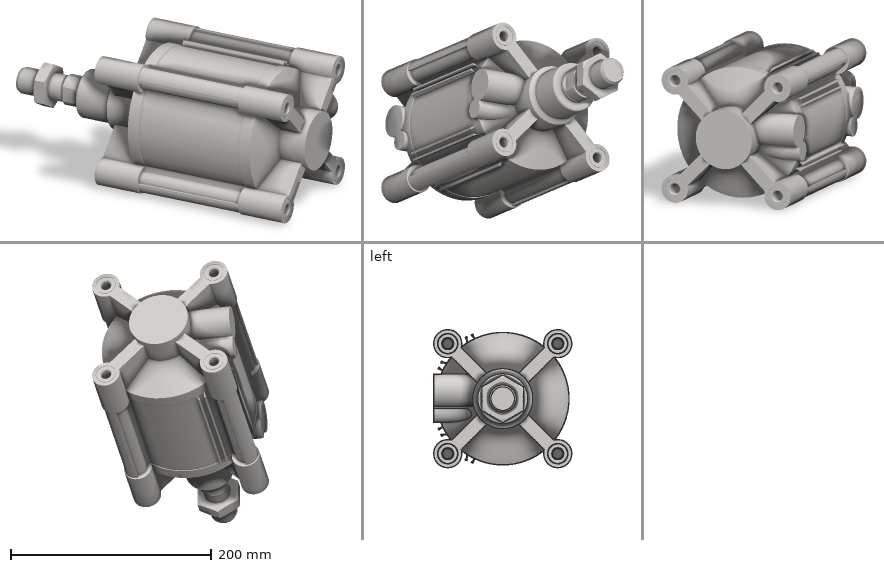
import cadquery as cq
import math

TOTAL_LENGTH = 335.0
CAP_FRONT_X = 118.5
CAP_LENGTH = 48.2
BARREL_LENGTH = 113.5
BARREL_FRONT_X = CAP_FRONT_X + CAP_LENGTH
BARREL_REAR_X = BARREL_FRONT_X + BARREL_LENGTH
CAP_REAR_X = BARREL_REAR_X + CAP_LENGTH
BARREL_MID_X = (BARREL_FRONT_X + BARREL_REAR_X) / 2

CAP_RADIUS = 66.3
CAP_RIM_WIDTH = 12.0
CAP_CONE_LENGTH = 13.5
HUB_RADIUS = 60.0 / 2
CAP_RIM_X = BARREL_FRONT_X - CAP_RIM_WIDTH
CAP_CONE_X = CAP_RIM_X - CAP_CONE_LENGTH
RIB_WIDTH = 13.5

NECK_RADIUS = 50.0 / 2
NECK_FRONT_X = 73.7
NECK_REAR_X = 108.2
NECK_EDGE_FILLET = 2.0
HUB_FRONT_X = 112.0

CORNER_OFFSET = 55.0
CORNERS = [(y, z) for y in (-1, 1) for z in (-1, 1)]
BOSS_RADIUS = 14.0
BOSS_HOLE_RADIUS = 10.0 / 2
BOSS_HOLE_MOUTH_RADIUS = 12.0 / 2
BOSS_HOLE_DEPTH = 20.0
RING_OUTER_RADIUS = 20.5 / 2
RING_INNER_RADIUS = 19.5 / 2
RING_DEPTH = 0.7

PORT_END_Y = CORNER_OFFSET + BOSS_RADIUS
PORT_RADIUS = 32.0 / 2
PORT_X = 142.5
PORT_Z = 8.5
SCREW_BOSS_RADIUS = 19.5 / 2
SCREW_BOSS_X = 152.8
SCREW_BOSS_Z = -14.0
PORT_WEB_BOTTOM_Z = -9.7

BARREL_RADIUS = 65.5
RAIL_INNER_RADIUS = 19.5 / 2
RAIL_OUTER_RADIUS = 12.7
RAIL_FLAT_DISTANCE = 12.5
RAIL_WEB_WIDTH = 13.5

SLOT_TILT = 22.5
SLOT_OFFSET = 7.0
SLOT_LIP_FOOT = 5.0
SLOT_LIP_HEAD = 3.5
SLOT_LIP_THICKNESS = 1.0
SLOT_HEAD_HALF_WIDTH = 1.0
SLOT_HEAD_THICKNESS = 1.5
SLOT_ROOT = 64.3
SLOT_TOP = 71.0

ROD_RADIUS = 32.0 / 2
COLLAR_RADIUS = 31.5 / 2
COLLAR_FRONT_X = 53.5
COLLAR_REAR_X = 70.0
FLAT_REAR_X = 68.0
FLAT_WIDTH = 27.5
THREAD_RADIUS = 27.0 / 2
THREAD_CHAMFER = 3.5
THREAD_TIP_RADIUS = 11.7
THREAD_END_X = 49.5
UNDERCUT_RADIUS = 19.5 / 2
UNDERCUT_X = 51.3

NUT_FRONT_X = 24.5
NUT_THICKNESS = 12.5
NUT_ACROSS_FLATS = 41.2
NUT_CHAMFER = 1.0
NUT_SIDES = 6


def x_cylinder(x_start, x_end, radius, y=0.0, z=0.0):
    return cq.Workplane("YZ", origin=(x_start, y, z)).circle(radius).extrude(x_end - x_start)


def revolve_about_x(points):
    """Turn a closed (x, radius) profile around the X axis."""
    return cq.Workplane("XY").polyline(points).close().revolve(360, (0, 0, 0), (1, 0, 0))


def y_cylinder(x, z, radius, y_end):
    return cq.Workplane("XZ", origin=(x, 0, z)).circle(radius).extrude(-y_end)


def diagonal_bar(x_start, x_end, width, y_sign, z_sign):
    """Flat bar from the axis out to the centre of one corner boss."""
    reach = CORNER_OFFSET * math.sqrt(2)
    length = x_end - x_start
    bar = cq.Workplane("XY").box(length, reach, width, centered=(False, False, True))
    angle = math.degrees(math.atan2(z_sign, y_sign))
    return bar.rotate((0, 0, 0), (1, 0, 0), angle).translate((x_start, 0, 0))


def boss_hole(y, z):
    """Blind hole with a countersunk mouth."""
    hole = x_cylinder(CAP_FRONT_X, CAP_FRONT_X + BOSS_HOLE_DEPTH, BOSS_HOLE_RADIUS, y, z)
    mouth = cq.Solid.makeCone(
        BOSS_HOLE_MOUTH_RADIUS,
        BOSS_HOLE_RADIUS,
        BOSS_HOLE_MOUTH_RADIUS - BOSS_HOLE_RADIUS,
        pnt=cq.Vector(CAP_FRONT_X, y, z),
        dir=cq.Vector(1, 0, 0),
    )
    return hole.union(cq.Workplane(mouth))


def boss_ring(y, z):
    """Shallow ring groove in the boss end."""
    ring = cq.Workplane("YZ", origin=(CAP_FRONT_X, y, z)).circle(RING_OUTER_RADIUS)
    return ring.circle(RING_INNER_RADIUS).extrude(RING_DEPTH)


def port_block():
    """Air port, screw boss and the web that joins them."""
    port = y_cylinder(PORT_X, PORT_Z, PORT_RADIUS, PORT_END_Y)
    screw_boss = y_cylinder(SCREW_BOSS_X, SCREW_BOSS_Z, SCREW_BOSS_RADIUS, PORT_END_Y)
    half_width = math.sqrt(SCREW_BOSS_RADIUS**2 - (PORT_WEB_BOTTOM_Z - SCREW_BOSS_Z) ** 2)
    web = cq.Workplane("XY").box(
        half_width, PORT_END_Y, PORT_Z - PORT_WEB_BOTTOM_Z, centered=False
    )
    web = web.translate((SCREW_BOSS_X - half_width, 0, PORT_WEB_BOTTOM_Z))
    return port.union(screw_boss).union(web)


def cap_core(front_profile):
    """Turned core of a cap in the front position, whose hub starts with the given profile."""
    return revolve_about_x(front_profile + [
        (CAP_CONE_X, HUB_RADIUS),
        (CAP_RIM_X, CAP_RADIUS),
        (BARREL_FRONT_X, CAP_RADIUS),
        (BARREL_FRONT_X, 0),
    ])


def complete_cap(core):
    """Add the port block, ribs and drilled corner bosses to a cap core."""
    cap = core.union(port_block())
    for y_sign, z_sign in CORNERS:
        y = y_sign * CORNER_OFFSET
        z = z_sign * CORNER_OFFSET
        rib = diagonal_bar(CAP_FRONT_X, BARREL_FRONT_X, RIB_WIDTH, y_sign, z_sign)
        boss = x_cylinder(CAP_FRONT_X, BARREL_FRONT_X, BOSS_RADIUS, y, z)
        cap = cap.union(rib).union(boss)
        cap = cap.cut(boss_hole(y, z)).cut(boss_ring(y, z))
    return cap


def make_front_cap():
    core = cap_core([
        (NECK_FRONT_X, 0),
        (NECK_FRONT_X, NECK_RADIUS),
        (NECK_REAR_X, NECK_RADIUS),
        (HUB_FRONT_X, HUB_RADIUS),
    ])
    core = core.faces("<X").edges().fillet(NECK_EDGE_FILLET)
    rod_bore = x_cylinder(NECK_FRONT_X, BARREL_FRONT_X, ROD_RADIUS)
    return complete_cap(core).cut(rod_bore)


def make_rear_cap():
    """Cap with a short plain hub, mirrored to the rear of the barrel."""
    stub_length = TOTAL_LENGTH - CAP_REAR_X
    hub_end_x = CAP_FRONT_X - stub_length
    core = cap_core([(hub_end_x, 0), (hub_end_x, HUB_RADIUS)])
    return complete_cap(core).mirror("YZ", (BARREL_MID_X, 0, 0))


def corner_rail(y_sign, z_sign):
    """Round rail whose outer quarter steps out to two narrow flats, on a web to the barrel wall."""
    y = y_sign * CORNER_OFFSET
    z = z_sign * CORNER_OFFSET
    quadrant = cq.Workplane("XY").box(BARREL_LENGTH, RAIL_FLAT_DISTANCE, RAIL_FLAT_DISTANCE)
    quadrant = quadrant.translate((
        BARREL_MID_X,
        y + y_sign * RAIL_FLAT_DISTANCE / 2,
        z + z_sign * RAIL_FLAT_DISTANCE / 2,
    ))
    outer_part = x_cylinder(BARREL_FRONT_X, BARREL_REAR_X, RAIL_OUTER_RADIUS, y, z).intersect(quadrant)
    rail = x_cylinder(BARREL_FRONT_X, BARREL_REAR_X, RAIL_INNER_RADIUS, y, z).union(outer_part)
    web = diagonal_bar(BARREL_FRONT_X, BARREL_REAR_X, RAIL_WEB_WIDTH, y_sign, z_sign)
    return rail.union(web)


def slot_lip(side):
    """One lip of the sensor slot that opens towards +Z, before the slot is tilted."""
    head_bottom = SLOT_TOP - SLOT_HEAD_THICKNESS
    profile = [
        (SLOT_LIP_FOOT, SLOT_ROOT),
        (SLOT_LIP_HEAD + SLOT_LIP_THICKNESS / 2, head_bottom),
        (SLOT_LIP_HEAD + SLOT_HEAD_HALF_WIDTH, head_bottom),
        (SLOT_LIP_HEAD + SLOT_HEAD_HALF_WIDTH, SLOT_TOP),
        (SLOT_LIP_HEAD - SLOT_HEAD_HALF_WIDTH, SLOT_TOP),
        (SLOT_LIP_HEAD - SLOT_HEAD_HALF_WIDTH, head_bottom),
        (SLOT_LIP_HEAD - SLOT_LIP_THICKNESS / 2, head_bottom),
        (SLOT_LIP_FOOT - SLOT_LIP_THICKNESS, SLOT_ROOT),
    ]
    points = [(SLOT_OFFSET + side * offset, height) for offset, height in profile]
    lip = cq.Workplane("YZ", origin=(BARREL_FRONT_X, 0, 0)).polyline(points).close()
    return lip.extrude(BARREL_LENGTH).rotate((0, 0, 0), (1, 0, 0), -SLOT_TILT)


def make_barrel():
    barrel = x_cylinder(BARREL_FRONT_X, BARREL_REAR_X, BARREL_RADIUS)
    for y_sign, z_sign in CORNERS:
        barrel = barrel.union(corner_rail(y_sign, z_sign))
    for side in (-1, 1):
        above_rail = slot_lip(side)
        beside_rail = above_rail.mirror("XY").rotate((0, 0, 0), (1, 0, 0), 90)
        for lip in (above_rail, beside_rail):
            barrel = barrel.union(lip).union(lip.mirror("XY"))
    return barrel


def make_rod():
    rod = revolve_about_x([
        (0, 0),
        (0, THREAD_TIP_RADIUS),
        (THREAD_CHAMFER, THREAD_RADIUS),
        (THREAD_END_X, THREAD_RADIUS),
        (UNDERCUT_X, UNDERCUT_RADIUS),
        (COLLAR_FRONT_X, UNDERCUT_RADIUS),
        (COLLAR_FRONT_X, COLLAR_RADIUS),
        (COLLAR_REAR_X, COLLAR_RADIUS),
        (COLLAR_REAR_X, ROD_RADIUS),
        (BARREL_FRONT_X, ROD_RADIUS),
        (BARREL_FRONT_X, 0),
    ])
    flat_depth = COLLAR_RADIUS - FLAT_WIDTH / 2
    wrench_flat = (
        cq.Workplane("XY")
        .polyline([
            (COLLAR_FRONT_X, FLAT_WIDTH / 2),
            (FLAT_REAR_X, FLAT_WIDTH / 2),
            (FLAT_REAR_X + flat_depth, COLLAR_RADIUS),
            (COLLAR_FRONT_X, COLLAR_RADIUS),
        ])
        .close()
        .extrude(COLLAR_RADIUS, both=True)
    )
    return rod.cut(wrench_flat).cut(wrench_flat.mirror("XZ"))


def make_nut():
    """Hexagon nut with flats facing +Y and -Y and its corners turned down at both ends."""
    corner_radius = NUT_ACROSS_FLATS / math.sqrt(3)
    rear_x = NUT_FRONT_X + NUT_THICKNESS
    hexagon = (
        cq.Workplane("YZ", origin=(NUT_FRONT_X, 0, 0))
        .polygon(NUT_SIDES, 2 * corner_radius)
        .extrude(NUT_THICKNESS)
        .rotate((0, 0, 0), (1, 0, 0), 180 / NUT_SIDES)
    )
    face_radius = NUT_ACROSS_FLATS / 2
    turned_blank = revolve_about_x([
        (NUT_FRONT_X, 0),
        (NUT_FRONT_X, face_radius),
        (NUT_FRONT_X + NUT_CHAMFER, corner_radius),
        (rear_x - NUT_CHAMFER, corner_radius),
        (rear_x, face_radius),
        (rear_x, 0),
    ])
    thread_bore = x_cylinder(NUT_FRONT_X, rear_x, THREAD_RADIUS)
    return hexagon.intersect(turned_blank).cut(thread_bore)


piston_rod = make_rod()
nut = make_nut()
front_cap = make_front_cap()
barrel = make_barrel()
rear_cap = make_rear_cap()

result = cq.Compound.makeCompound([
    piston_rod.val(),
    nut.val(),
    front_cap.val(),
    barrel.val(),
    rear_cap.val(),
])